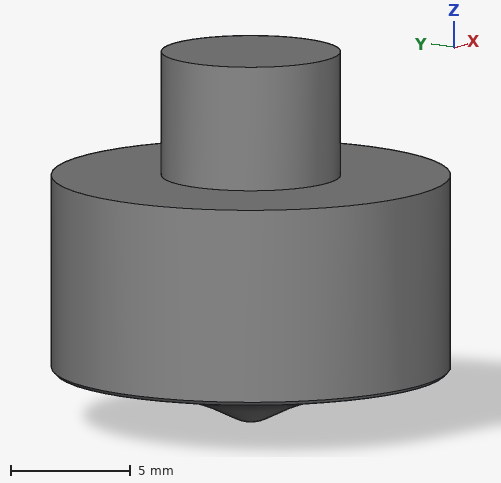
import cadquery as cq
import math

total_height = 15.71
body_diameter = 16.7
stem_diameter = 7.5
stem_height = 5.25
rim_chamfer = 0.15
rim_bottom_height = 2.17
blend_radius_start = 3.97
blend_height_start = 1.35
tip_radius = 1.5
tip_slope_angle = 28.0

body_radius = body_diameter / 2
stem_radius = stem_diameter / 2
shoulder_height = total_height - stem_height


def tip_point(angle):
    """Point (radius, height) on the spherical tip at an angle from the axis."""
    radians = math.radians(angle)
    return (tip_radius * math.sin(radians), tip_radius * (1 - math.cos(radians)))


cone_inner = (blend_radius_start, blend_height_start)
cone_outer = (body_radius - rim_chamfer, rim_bottom_height)

profile = (
    cq.Workplane("XZ")
    .moveTo(0, total_height)
    .lineTo(stem_radius, total_height)
    .lineTo(stem_radius, shoulder_height)
    .lineTo(body_radius, shoulder_height)
    .lineTo(body_radius, rim_bottom_height + rim_chamfer)
    .lineTo(*cone_outer)
    .lineTo(*cone_inner)
    .tangentArcPoint(tip_point(tip_slope_angle), relative=False)
    .threePointArc(tip_point(tip_slope_angle / 2), tip_point(0))
    .close()
)

result = profile.revolve(360, (0, 0, 0), (0, 1, 0))